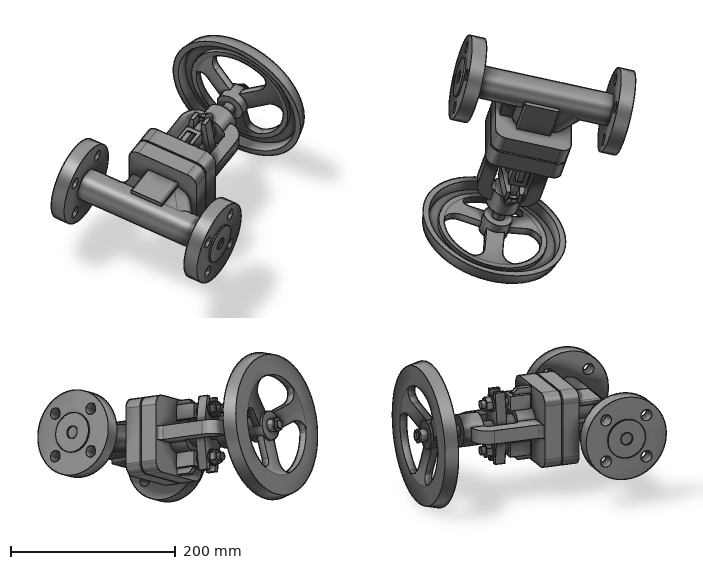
import cadquery as cq
import math


FACE_TO_FACE = 210.0
PIPE_R = 19.8
FLANGE_R = 52.5
FLANGE_T = 18.3
RAISED_FACE_R = 24.5
RAISED_FACE_T = 2.0
PORT_R = 7.7
FLANGE_HOLE_R = 7.02
FLANGE_HOLE_OFFSET = 26.5

SQUARE_SIDE = 95.2
SQUARE_CORNER_R = 13.2
BODY_FLANGE_Y = 39.3
BODY_FLANGE_T = 21.0
GASKET_R = 35.5
GASKET_T = 2.0
BONNET_T = 21.8
GASKET_Y = BODY_FLANGE_Y + BODY_FLANGE_T
BONNET_Y = GASKET_Y + GASKET_T
BONNET_TOP = BONNET_Y + BONNET_T

NECK_R = 27.8
PAD_HALF_W = 21.5
PAD_Z = 25.5
PAD_T = 6.3
PAD_EDGE_R = 2.0
RIB_HALF_T = 5.5
RIB_X = -42.5
RIB_FILLET_R = 8.0
PASSAGE_R = 19.0
PASSAGE_FOOT_X = 45.0
PASSAGE_ANGLE = 127
PASSAGE_LENGTH = 54.5

YOKE_HALF_W = 39.5
YOKE_HALF_T = 8.5
YOKE_TOP = 168.8
YOKE_CORNER_R = 21.8
YOKE_FOOT_R = 4.5
WINDOW_HALF_W = 22.4
WINDOW_BOTTOM = 107.5
WINDOW_TOP = 152.0
WINDOW_R = 6.0
BOSS_R = 19.8
BOSS_TOP = 178.5

FOLLOWER_R = 12.5
GLAND_Y = 121.5
GLAND_T = 12.5
GLAND_HALF_L = 45.5
GLAND_MID_HALF_W = 17.8
GLAND_END_HALF_W = 10.5
SLOT_HALF_W = 5.7
GLAND_SLOT_DEPTH = 21.5
GLAND_TOP = GLAND_Y + GLAND_T

BOLT_Z = 29.5
BOLT_R = 5.2
BOLT_TOP = 149.0
WASHER_R = 10.0
WASHER_T = 2.0
NUT_FLATS = 15.8
NUT_T = 7.5
FORK_Y = 88.3
FORK_TOP = 114.4
FORK_SLOT_TOP = 108.5
FORK_HALF_W = 10.5
FORK_HALF_T = 9.2
LUG_HALF_W = 3.5
LUG_END_Z = GLAND_HALF_L
LUG_CHAMFER = 5.7

STEM_R = 7.7
STEM_TOP = 234.2
STEM_END_R = 5.0
WHEEL_TOP = 229.9
WHEEL_NUT_T = 2.0
RIM_R = 90.0
RIM_TOP_R = 86.0
RIM_BOTTOM = 213.8
RIM_INNER_R = 82.5
CHANNEL_R = 80.0
CHANNEL_ROOF = 226.0
LIP_OUTER_R = 68.0
LIP_INNER_R = 61.3
LIP_BOTTOM = 220.7
HUB_R = 17.8
HUB_BOTTOM = 197.5
HUB_TOP = 220.7
SPOKE_HUB_BOTTOM = 208.5
SPOKE_T = WHEEL_TOP - LIP_BOTTOM
SPOKE_HUB_TOP = SPOKE_HUB_BOTTOM + SPOKE_T
SPOKE_HALF_W = 11.2
SPOKE_FILLET_R = 12.5
SPOKE_COUNT = 3


def section(y):
    """Workplane normal to the stem at height y; local x is X and local y is Z."""
    return cq.Workplane(cq.Plane(origin=(0, y, 0), xDir=(1, 0, 0), normal=(0, -1, 0)))


def round_bar(radius, y0, y1, z=0):
    """Cylinder parallel to the stem from y0 to y1."""
    return section(y0).center(0, z).circle(radius).extrude(y0 - y1)


def hex_nut(y0, y1, z=0):
    """Nut with two of its corners pointing along Z."""
    corner_d = NUT_FLATS / math.cos(math.pi / 6)
    nut = section(y0).polygon(6, corner_d).extrude(y0 - y1)
    return nut.rotate((0, 0, 0), (0, 1, 0), 90).translate((0, 0, z))


def block(x0, x1, y0, y1, z0, z1):
    """Box given by its limits along each axis."""
    return cq.Workplane("XY").box(x1 - x0, y1 - y0, z1 - z0, centered=False).translate((x0, y0, z0))


def make_pipe():
    """Solid pipe run with a drilled flange and shallow port recess at each end."""
    flange_outer_x = FACE_TO_FACE / 2 - RAISED_FACE_T
    flange_inner_x = flange_outer_x - FLANGE_T
    pipe = cq.Workplane("YZ").circle(PIPE_R).extrude(flange_outer_x, both=True)
    hole_pattern = cq.Workplane("YZ").workplane(offset=flange_inner_x)
    flange = hole_pattern.circle(FLANGE_R).extrude(FLANGE_T)
    hole_span = 2 * FLANGE_HOLE_OFFSET
    holes = hole_pattern.rect(hole_span, hole_span, forConstruction=True).vertices()
    flange = flange.cut(holes.circle(FLANGE_HOLE_R).extrude(FLANGE_T))
    raised_face = cq.Workplane("YZ").workplane(offset=flange_outer_x)
    flange = flange.union(raised_face.circle(RAISED_FACE_R).circle(PORT_R).extrude(RAISED_FACE_T))
    return pipe.union(flange).union(flange.mirror("YZ"))


def square_flange(y0, thickness):
    """Square plate with rounded corners, rising from y0."""
    plate = section(y0).rect(SQUARE_SIDE, SQUARE_SIDE).extrude(-thickness)
    return plate.edges("|Y").fillet(SQUARE_CORNER_R)


def make_neck():
    """Round neck flattened level with the marking pads on both sides."""
    neck = round_bar(NECK_R, 0, GASKET_Y)
    neck = neck.intersect(block(-NECK_R, NECK_R, 0, GASKET_Y, -PAD_Z, PAD_Z))
    pad = block(-PAD_HALF_W, PAD_HALF_W, 0, GASKET_Y, PAD_Z - PAD_T, PAD_Z)
    pad = pad.edges("|Y and >Z").fillet(PAD_EDGE_R)
    return neck.union(pad).union(pad.mirror("XY"))


def make_inlet_rib():
    """Flat rib on the inlet side, flared where it lands on the pipe."""
    flare_x = RIB_X - RIB_FILLET_R
    flare_top = PIPE_R + RIB_FILLET_R
    bend = RIB_FILLET_R * math.sqrt(0.5)
    return (
        cq.Workplane("XY")
        .moveTo(0, 0)
        .lineTo(flare_x, 0)
        .lineTo(flare_x, PIPE_R)
        .threePointArc((flare_x + bend, flare_top - bend), (RIB_X, flare_top))
        .lineTo(RIB_X, GASKET_Y)
        .lineTo(0, GASKET_Y)
        .close()
        .extrude(RIB_HALF_T, both=True)
    )


def make_outlet_passage():
    """Inclined round passage with a web filling the space back to the neck."""
    angle = math.radians(PASSAGE_ANGLE)
    direction = cq.Vector(math.cos(angle), math.sin(angle), 0)
    foot = cq.Vector(PASSAGE_FOOT_X, 0, 0)
    passage = cq.Workplane(cq.Solid.makeCylinder(PASSAGE_R, PASSAGE_LENGTH, foot, direction))
    head = foot + direction * PASSAGE_LENGTH
    web_outline = [(0, 0), (foot.x, foot.y), (head.x, head.y), (0, head.y)]
    web = cq.Workplane("XY").polyline(web_outline).close().extrude(PASSAGE_R, both=True)
    return passage.union(web)


def make_yoke():
    """Arched frame with its stem boss and stuffing box, drawn as one half and mirrored."""
    foot_x = YOKE_HALF_W + YOKE_FOOT_R
    foot_top = BONNET_TOP + YOKE_FOOT_R
    bend = YOKE_FOOT_R * (1 - math.sqrt(0.5))
    shoulder = YOKE_CORNER_R * (1 - math.sqrt(0.5))
    arch = (
        cq.Workplane("XY")
        .moveTo(0, BONNET_TOP)
        .lineTo(foot_x, BONNET_TOP)
        .threePointArc((YOKE_HALF_W + bend, BONNET_TOP + bend), (YOKE_HALF_W, foot_top))
        .lineTo(YOKE_HALF_W, YOKE_TOP - YOKE_CORNER_R)
        .threePointArc(
            (YOKE_HALF_W - shoulder, YOKE_TOP - shoulder),
            (YOKE_HALF_W - YOKE_CORNER_R, YOKE_TOP),
        )
        .lineTo(0, YOKE_TOP)
        .close()
        .extrude(YOKE_HALF_T, both=True)
    )
    window = block(
        -WINDOW_HALF_W, WINDOW_HALF_W, WINDOW_BOTTOM, WINDOW_TOP, -YOKE_HALF_T, YOKE_HALF_T
    )
    frame = arch.union(arch.mirror("YZ")).cut(window.edges("|Z").fillet(WINDOW_R))
    boss = round_bar(BOSS_R, WINDOW_TOP, BOSS_TOP)
    stuffing_box = round_bar(BOSS_R, BONNET_TOP, WINDOW_BOTTOM)
    return frame.union(boss).union(stuffing_box)


def make_gland():
    """Follower with a tapered plate that is slotted at both ends for the bolts."""
    corners = [
        (GLAND_MID_HALF_W, 0),
        (GLAND_END_HALF_W, GLAND_HALF_L),
        (-GLAND_END_HALF_W, GLAND_HALF_L),
        (-GLAND_MID_HALF_W, 0),
        (-GLAND_END_HALF_W, -GLAND_HALF_L),
        (GLAND_END_HALF_W, -GLAND_HALF_L),
    ]
    plate = section(GLAND_Y).polyline(corners).close().extrude(-GLAND_T)
    slot = block(
        -SLOT_HALF_W, SLOT_HALF_W, GLAND_Y, GLAND_TOP, GLAND_HALF_L - GLAND_SLOT_DEPTH, GLAND_HALF_L
    )
    follower = round_bar(FOLLOWER_R, WINDOW_BOTTOM, GLAND_Y)
    return plate.cut(slot).cut(slot.mirror("XY")).union(follower)


def make_gland_bolt():
    """Bolt on the +Z side with its nut, its fork and the lug the fork straddles."""
    washer_top = GLAND_TOP + WASHER_T
    bolt = round_bar(BOLT_R, FORK_SLOT_TOP, BOLT_TOP, BOLT_Z)
    washer = round_bar(WASHER_R, GLAND_TOP, washer_top, BOLT_Z)
    nut = hex_nut(washer_top, washer_top + NUT_T, BOLT_Z)
    fork_z0 = BOLT_Z - FORK_HALF_T
    fork_z1 = BOLT_Z + FORK_HALF_T
    fork = block(-FORK_HALF_W, FORK_HALF_W, FORK_Y, FORK_TOP, fork_z0, fork_z1)
    fork = fork.cut(block(-SLOT_HALF_W, SLOT_HALF_W, FORK_Y, FORK_SLOT_TOP, fork_z0, fork_z1))
    lug = block(-LUG_HALF_W, LUG_HALF_W, BONNET_TOP, WINDOW_BOTTOM, 0, LUG_END_Z)
    lug = lug.edges(">Y and >Z").chamfer(LUG_CHAMFER)
    return bolt.union(washer).union(nut).union(fork).union(lug)


def make_stem():
    """Stem with the hexagon nut and stub end above the handwheel."""
    nut_top = WHEEL_TOP + WHEEL_NUT_T
    stem = round_bar(STEM_R, WINDOW_BOTTOM, WHEEL_TOP)
    stem = stem.union(hex_nut(WHEEL_TOP, nut_top))
    return stem.union(round_bar(STEM_END_R, nut_top, STEM_TOP))


def make_wheel_opening():
    """Window opposite the -Z spoke, bounded by two spokes and the rim."""
    reach = LIP_INNER_R + SPOKE_HALF_W
    half_sweep = math.pi / SPOKE_COUNT
    apex = SPOKE_HALF_W / math.sin(half_sweep)
    spread = reach * math.tan(half_sweep)
    wedge = (
        section(HUB_BOTTOM)
        .polyline([(0, apex), (spread, apex + reach), (-spread, apex + reach)])
        .close()
        .extrude(HUB_BOTTOM - WHEEL_TOP)
    )
    opening = wedge.intersect(round_bar(LIP_INNER_R, HUB_BOTTOM, WHEEL_TOP))
    rim_corners = cq.selectors.BoxSelector(
        (-LIP_INNER_R, HUB_BOTTOM, HUB_R), (LIP_INNER_R, WHEEL_TOP, LIP_INNER_R)
    )
    return opening.edges("|Y").edges(rim_corners).fillet(SPOKE_FILLET_R)


def make_wheel():
    """Channel rim, dished spokes and hub."""
    profile = [
        (0, SPOKE_HUB_BOTTOM),
        (HUB_R, SPOKE_HUB_BOTTOM),
        (LIP_INNER_R, LIP_BOTTOM),
        (LIP_OUTER_R, LIP_BOTTOM),
        (LIP_OUTER_R, CHANNEL_ROOF),
        (CHANNEL_R, CHANNEL_ROOF),
        (RIM_INNER_R, RIM_BOTTOM),
        (RIM_R, RIM_BOTTOM),
        (RIM_TOP_R, WHEEL_TOP),
        (LIP_INNER_R, WHEEL_TOP),
        (HUB_R, SPOKE_HUB_TOP),
        (0, SPOKE_HUB_TOP),
    ]
    wheel = cq.Workplane("XY").polyline(profile).close().revolve(360, (0, 0, 0), (0, 1, 0))
    opening = make_wheel_opening()
    for index in range(SPOKE_COUNT):
        wheel = wheel.cut(opening.rotate((0, 0, 0), (0, 1, 0), 360 / SPOKE_COUNT * index))
    return wheel.union(round_bar(HUB_R, HUB_BOTTOM, HUB_TOP))


gland_bolt = make_gland_bolt()

result = make_pipe()
for feature in (
    square_flange(BODY_FLANGE_Y, BODY_FLANGE_T),
    make_neck(),
    make_inlet_rib(),
    make_outlet_passage(),
    round_bar(GASKET_R, GASKET_Y, BONNET_Y),
    square_flange(BONNET_Y, BONNET_T),
    make_yoke(),
    make_gland(),
    gland_bolt,
    gland_bolt.mirror("XY"),
    make_stem(),
    make_wheel(),
):
    result = result.union(feature)